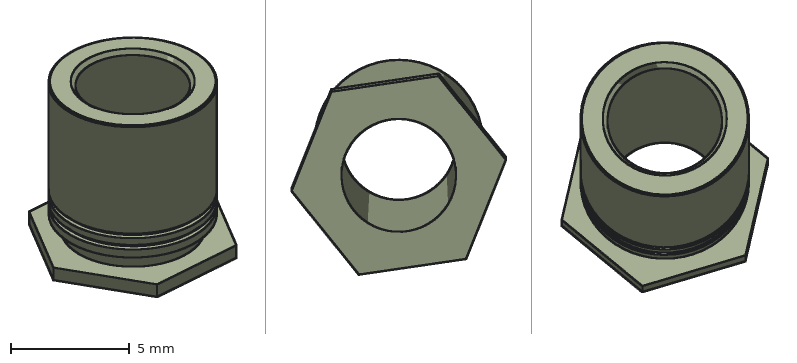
import cadquery as cq
import math

HEX_SIDES = 6
HEX_ACROSS_FLATS = 7.92
HEX_ACROSS_CORNERS = HEX_ACROSS_FLATS / math.cos(math.pi / HEX_SIDES)
HEX_THICKNESS = 0.63
TOTAL_HEIGHT = 7.94

BODY_DIAMETER = 7.11
NECK_DIAMETER = 6.10
GROOVE_DIAMETER = 6.60
BORE_DIAMETER = 4.83

NECK_TOP = 1.40
GROOVE_BOTTOMS = (1.80, 2.36)
GROOVE_WIDTH = 0.23

OUTER_CHAMFER = 0.06
BORE_CHAMFER_WIDTH = 0.20
BORE_CHAMFER_DEPTH = 0.20

CUT_MARGIN = 1.0


def ring(outer_diameter, inner_diameter, bottom, height):
    """Flat ring around Z, used as a cutting tool."""
    return (
        cq.Workplane("XY")
        .workplane(offset=bottom)
        .circle(outer_diameter / 2)
        .circle(inner_diameter / 2)
        .extrude(height)
    )


def hex_flange():
    """Hexagonal plate with flats facing +Y and -Y and corners on X."""
    return (
        cq.Workplane("XY")
        .polygon(HEX_SIDES, HEX_ACROSS_CORNERS)
        .extrude(HEX_THICKNESS)
    )


def barrel():
    """Cylinder with a narrowed neck, two grooves and a broken top edge."""
    body = cq.Workplane("XY").circle(BODY_DIAMETER / 2).extrude(TOTAL_HEIGHT)
    body = body.faces(">Z").edges().chamfer(OUTER_CHAMFER)
    cutter_diameter = BODY_DIAMETER + 2 * CUT_MARGIN
    body = body.cut(ring(cutter_diameter, NECK_DIAMETER, 0, NECK_TOP))
    for groove_bottom in GROOVE_BOTTOMS:
        body = body.cut(ring(cutter_diameter, GROOVE_DIAMETER, groove_bottom, GROOVE_WIDTH))
    return body


def bore():
    """Through bore, widened by a conical countersink at the top."""
    bore_radius = BORE_DIAMETER / 2
    mouth_radius = bore_radius + BORE_CHAMFER_WIDTH
    return (
        cq.Workplane("XZ")
        .moveTo(0, 0)
        .lineTo(bore_radius, 0)
        .lineTo(bore_radius, TOTAL_HEIGHT - BORE_CHAMFER_DEPTH)
        .lineTo(mouth_radius, TOTAL_HEIGHT)
        .lineTo(0, TOTAL_HEIGHT)
        .close()
        .revolve(360, (0, 0, 0), (0, 1, 0))
    )


result = hex_flange().union(barrel()).cut(bore())